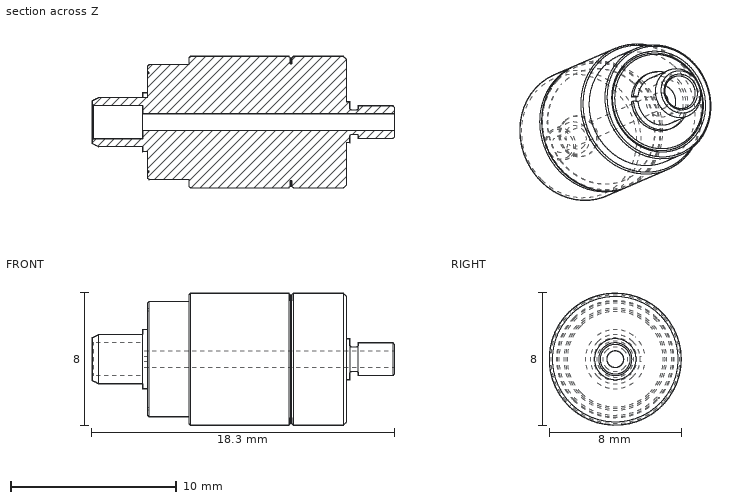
import cadquery as cq

collar_start = 3.05
flange_start = 3.35
body_start = 5.85
groove_start = 12.0
groove_end = 12.08
cap_end = 15.4
neck_start = 15.6
pin_start = 16.1
total_length = 18.3

tube_diameter = 3.0
collar_diameter = 3.6
flange_diameter = 7.0
body_diameter = 8.0
groove_diameter = 7.1
seat_diameter = 2.5
neck_diameter = 1.5
pin_diameter = 2.0
tube_bore_diameter = 2.0
through_hole_diameter = 1.0
face_joint_diameter = 6.0

edge_chamfer = 0.1
cap_chamfer = 0.2
tube_lead_in_length = 0.4
tube_lead_in_drop = 0.2
neck_fillet = 0.1
tube_bore_depth = collar_start
key_slot_width = 0.3


def cylinder(start, end, diameter):
    """Solid cylinder on the X axis between two stations."""
    return cq.Workplane("YZ", origin=(start, 0, 0)).circle(diameter / 2).extrude(end - start)


def make_tube():
    """Inlet tube with a shallow tapered lead-in at its free end."""
    tube = cylinder(0, flange_start, tube_diameter)
    return tube.faces("<X").chamfer(tube_lead_in_length, tube_lead_in_drop)


def make_collar():
    """Collar at the tube root, with one key slot on the +Y side."""
    collar = cylinder(collar_start, flange_start, collar_diameter)
    slot = (
        cq.Workplane("XY")
        .box(flange_start - collar_start, collar_diameter, key_slot_width, centered=(False, False, True))
        .translate((collar_start, 0, 0))
    )
    return collar.cut(slot)


def make_flange():
    """Front flange with a broken outer edge."""
    return cylinder(flange_start, body_start, flange_diameter).faces("<X").chamfer(edge_chamfer)


def make_body():
    """Main barrel and end cap, separated by a narrow groove."""
    barrel = cylinder(body_start, groove_start, body_diameter).faces("<X or >X").chamfer(edge_chamfer)
    core = cylinder(groove_start, groove_end, groove_diameter)
    cap = cylinder(groove_end, cap_end, body_diameter)
    cap = cap.faces("<X").chamfer(edge_chamfer).faces(">X").chamfer(cap_chamfer)
    return barrel.union(core).union(cap)


def make_pin():
    """Seat, neck with filleted roots, and outlet pin at the +X end."""
    seat = cylinder(cap_end, neck_start, seat_diameter)
    neck = cylinder(neck_start, pin_start, neck_diameter)
    pin = cylinder(pin_start, total_length, pin_diameter).faces(">X").chamfer(edge_chamfer)
    turned = seat.union(neck).union(pin)
    neck_edges = cq.selectors.BoxSelector(
        (neck_start - neck_fillet, -neck_diameter, -neck_diameter),
        (pin_start + neck_fillet, neck_diameter, neck_diameter),
    )
    root_edges = cq.selectors.RadiusNthSelector(0)
    return turned.edges(neck_edges).edges("%CIRCLE").edges(root_edges).fillet(neck_fillet)


def make_face_joint():
    """V-shaped ring cut into the flange face."""
    joint_radius = face_joint_diameter / 2
    return (
        cq.Workplane("XY")
        .moveTo(flange_start, joint_radius - edge_chamfer)
        .lineTo(flange_start + edge_chamfer, joint_radius)
        .lineTo(flange_start, joint_radius + edge_chamfer)
        .close()
        .revolve(axisStart=(0, 0, 0), axisEnd=(1, 0, 0))
    )


def make_bore():
    """Wide tube bore with a chamfered mouth, and the hole through the whole part."""
    bore_radius = tube_bore_diameter / 2
    return (
        cq.Workplane("XY")
        .lineTo(0, bore_radius + edge_chamfer)
        .lineTo(edge_chamfer, bore_radius)
        .lineTo(tube_bore_depth, bore_radius)
        .lineTo(tube_bore_depth, through_hole_diameter / 2)
        .lineTo(total_length, through_hole_diameter / 2)
        .lineTo(total_length, 0)
        .close()
        .revolve(axisStart=(0, 0, 0), axisEnd=(1, 0, 0))
    )


result = make_flange().union(make_body()).union(make_pin()).union(make_collar()).union(make_tube())
result = result.cut(make_face_joint()).cut(make_bore())